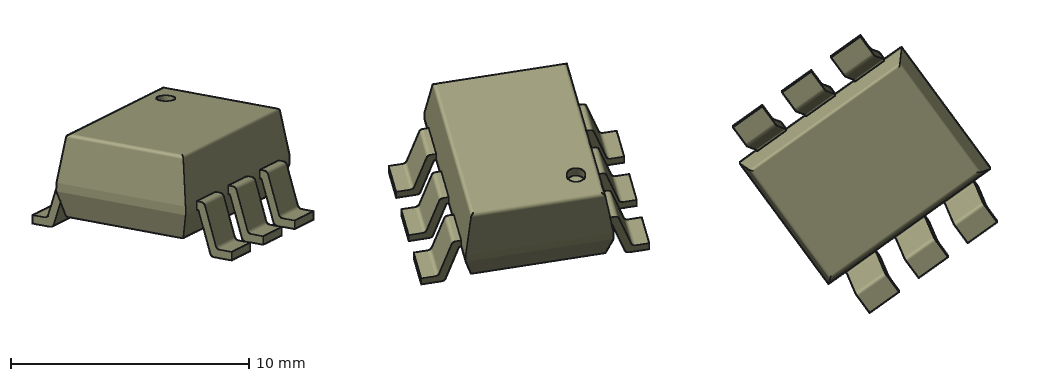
import cadquery as cq
import math

body_width = 6.35
body_length = 8.38
body_top = 4.43
body_bottom = 0.76
wall_inset = 0.31
top_edge_radius = 0.17
bottom_edge_radius = 0.14

mark_diameter = 0.79
mark_edge_distance = 1.27
mark_depth = 0.46

lead_count_per_side = 3
lead_pitch = 2.54
lead_width = 1.524
lead_span = 9.78
lead_thickness = 0.38
shoulder_top = 2.33
leg_angle = 17.6
foot_tip_to_heel = 1.005
bend_radius = 0.195
shoulder_inner_radius = 0.06

shoulder_bottom = shoulder_top - lead_thickness


def tapered_half(base_z, height, direction):
    """Half of the body, narrowing from the straight band to its flat end."""
    taper_angle = math.degrees(math.atan(wall_inset / height))
    return (
        cq.Workplane("XY", origin=(0, 0, base_z))
        .rect(body_width, body_length)
        .extrude(direction * height, taper=taper_angle)
    )


def make_body():
    """Moulded body: a straight band as thick as the leads between two tapered halves."""
    band = (
        cq.Workplane("XY", origin=(0, 0, shoulder_bottom))
        .rect(body_width, body_length)
        .extrude(lead_thickness)
    )
    upper = tapered_half(shoulder_top, body_top - shoulder_top, 1)
    upper = upper.faces(">Z").edges().fillet(top_edge_radius)
    lower = tapered_half(shoulder_bottom, shoulder_bottom - body_bottom, -1)
    lower = lower.faces("<Z").edges().fillet(bottom_edge_radius)
    mark = (
        cq.Workplane("XY", origin=(0, 0, body_top - mark_depth))
        .center(mark_edge_distance - body_width / 2, lead_pitch)
        .circle(mark_diameter / 2)
        .extrude(mark_depth)
    )
    return band.union(upper).union(lower).cut(mark)


def make_lead(center_y):
    """Lead on the -X side: foot, sloping leg and a shoulder that meets the body's band."""
    tip_x = -lead_span / 2
    body_x = -body_width / 2
    slope = math.tan(math.radians(leg_angle))
    miter = lead_thickness * math.tan(math.radians((90 - leg_angle) / 2))
    heel_x = tip_x + foot_tip_to_heel
    instep_x = heel_x - miter
    crest_x = instep_x + shoulder_bottom * slope
    armpit_x = heel_x + shoulder_bottom * slope

    def bend_edge(x, z):
        return cq.selectors.NearestToPointSelector((x, center_y, z))

    return (
        cq.Workplane("XZ", origin=(0, center_y + lead_width / 2, 0))
        .moveTo(tip_x, 0)
        .lineTo(heel_x, 0)
        .lineTo(armpit_x, shoulder_bottom)
        .lineTo(body_x, shoulder_bottom)
        .lineTo(body_x, shoulder_top)
        .lineTo(crest_x, shoulder_top)
        .lineTo(instep_x, lead_thickness)
        .lineTo(tip_x, lead_thickness)
        .close()
        .extrude(lead_width)
        .edges(bend_edge(heel_x, 0))
        .fillet(bend_radius)
        .edges(bend_edge(instep_x, lead_thickness))
        .fillet(bend_radius)
        .edges(bend_edge(crest_x, shoulder_top))
        .fillet(bend_radius)
        .edges(bend_edge(armpit_x, shoulder_bottom))
        .fillet(shoulder_inner_radius)
    )


body = make_body()

leads = []
for index in range(lead_count_per_side):
    lead_y = (index - (lead_count_per_side - 1) / 2) * lead_pitch
    left_lead = make_lead(lead_y)
    leads.append(left_lead.val())
    leads.append(left_lead.mirror("YZ").val())

result = cq.Compound.makeCompound([body.val(), *leads])